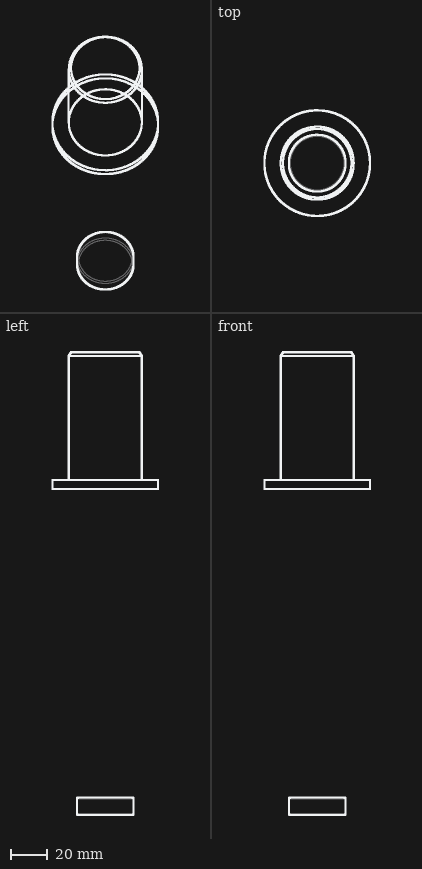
import cadquery as cq

total_height = 253.0

flange_diameter = 58.0
flange_thickness = 5.0
shank_diameter = 40.0
pin_height = 75.0
shank_chamfer_height = 2.0
shank_chamfer_width = 1.3

disc_diameter = 31.0
disc_thickness = 9.5
disc_rim_fillet = 0.89


def make_pin():
    """Round shank standing on a wider flange, with a steep chamfer at its free end."""
    flange_radius = flange_diameter / 2
    shank_radius = shank_diameter / 2
    half_profile = (
        cq.Workplane("XZ")
        .moveTo(0, 0)
        .lineTo(flange_radius, 0)
        .lineTo(flange_radius, flange_thickness)
        .lineTo(shank_radius, flange_thickness)
        .lineTo(shank_radius, pin_height - shank_chamfer_height)
        .lineTo(shank_radius - shank_chamfer_width, pin_height)
        .lineTo(0, pin_height)
        .close()
    )
    return half_profile.revolve(360, (0, 0), (0, 1))


def make_disc():
    """Flat round disc with both rims rounded."""
    return (
        cq.Workplane("XY")
        .circle(disc_diameter / 2)
        .extrude(disc_thickness)
        .faces("<Z or >Z")
        .edges()
        .fillet(disc_rim_fillet)
    )


disc = make_disc()
pin = make_pin().translate((0, 0, total_height - pin_height))

result = cq.Compound.makeCompound([pin.val(), disc.val()])